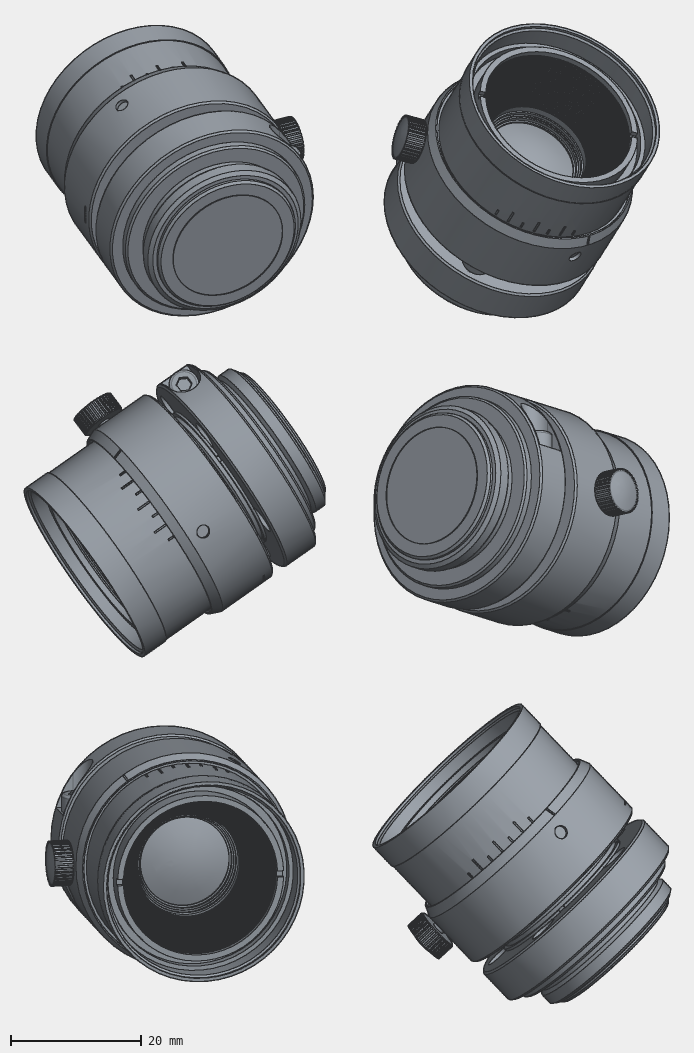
import cadquery as cq
import math


front_ring_end = 4.05
cone_start = 12.3
cone_end = 13.85
focus_ring_end = 23.52
neck_end = 24.25
collar_start = 24.65
collar_end = 25.3
clamp_start = 25.72
clamp_end = 31.7
flange_end = 33.05
mount_neck_end = 34.05
mount_start = 34.55
mount_chamfer_start = 36.35
mount_end = 36.8
tail_end = 37.6
lens_length = 37.75

front_ring_radius = 15.8
barrel_radius = 15.65
cone_front_radius = 16.3
cone_gap_radius = 16.1
cone_gap_depth = 0.38
body_radius = 17.0
neck_radius = 11.15
collar_radius = 11.5
disc_radius = 12.1
flange_radius = 15.0
mount_neck_radius = 12.2
mount_radius = 12.8
mount_end_radius = 12.15
rear_lens_radius = 9.15
edge_chamfer = 0.3
tail_chamfer = 0.38

rim_radius = 15.25
rim_chamfer_start = 0.4
rim_chamfer_end = 0.7
bore_radius = 14.9
bore_floor = 3.8
groove_radius = 14.23
groove_floor = 5.3
retainer_front = 2.25
retainer_radius = 13.05
baffle_mouth = 3.2
baffle_mouth_radius = 12.1
baffle_end = 11.15
baffle_end_radius = 8.1
baffle_steps = 32
throat_end = 12.03
seat_radius = 7.8
seat_step = 12.52
seat_step_radius = 7.55
seat_end = 12.75
lens_ring_end = 13.28
lens_ring_radius = 7.3
front_lens_edge = 13.55
front_lens_radius = 6.98
front_lens_rise = 1.5

slot_width = 1.0
retainer_slot_depth = 0.75
mark_depth = 0.1
mark_width = 0.25
scale_angle_step = 8
scale_long = 2.12
scale_short = 1.0
cone_mark_angle = -34.3
focus_mark_place = 21.7
focus_mark_length = 3.05

screw_place = 16.35
screw_hole_diameter = 2.05
screw_hole_depth = 0.6
stem_diameter = 2.0
knob_diameter = 6.98
knob_bottom = 17.45
knob_shoulder = 20.45
knob_top = 20.95
dome_base_radius = 3.1
knob_chamfer = 0.2
flute_count = 36
flute_width = 0.25
flute_depth = 0.2

pocket_count = 5
pocket_circle_radius = 13.35
pocket_diameter = 4.48
pocket_depth = 4.55
clamp_screw_place = (clamp_start + clamp_end) / 2
clamp_screw_offset = 13.6
clamp_seat_height = 5.0
clamp_seat_width = 5.0
clamp_head_diameter = 4.6
clamp_head_top = 7.7
clamp_head_fillet = 0.38
socket_corners = 2.43
socket_depth = 1.15


def turned(start, end, start_radius, end_radius=None):
    """Cylinder or cone on the X axis."""
    if end_radius is None:
        end_radius = start_radius
    outline = [(start, 0), (start, start_radius), (end, end_radius), (end, 0)]
    return cq.Workplane("XY").polyline(outline).close().revolve(360, (0, 0, 0), (1, 0, 0))


def block(length, width, height, center):
    return cq.Workplane("XY").box(length, width, height).translate(center)


def turn_about_axis(shape, angle):
    """Turn about the X axis; a positive angle swings the top (+Z) towards -Y."""
    return shape.rotate((0, 0, 0), (1, 0, 0), angle)


def outer_body():
    focus_ring = turned(cone_end, focus_ring_end, body_radius).faces(">X").chamfer(edge_chamfer)
    clamp_ring = turned(clamp_start, clamp_end, body_radius).faces("<X or >X").chamfer(edge_chamfer)
    flange = turned(clamp_end, flange_end, flange_radius).faces(">X").chamfer(edge_chamfer)
    tail = turned(mount_end, tail_end, collar_radius).faces(">X").chamfer(tail_chamfer)
    body = turned(0, front_ring_end, front_ring_radius)
    for section in (
        turned(front_ring_end, cone_start, barrel_radius),
        turned(cone_start, cone_end, cone_front_radius, body_radius),
        focus_ring,
        turned(focus_ring_end, neck_end, neck_radius),
        turned(neck_end, collar_start, neck_radius, collar_radius),
        turned(collar_start, collar_end, collar_radius),
        turned(collar_end, clamp_start, disc_radius),
        clamp_ring,
        flange,
        turned(flange_end, mount_neck_end, mount_neck_radius),
        turned(mount_neck_end, mount_start, mount_neck_radius, mount_radius),
        turned(mount_start, mount_chamfer_start, mount_radius),
        turned(mount_chamfer_start, mount_end, mount_radius, mount_end_radius),
        tail,
        turned(tail_end, lens_length, rear_lens_radius),
    ):
        body = body.union(section)
    return body


def front_cavity():
    """Front opening with a stepped light baffle narrowing down to the front lens."""
    step_length = (baffle_end - baffle_mouth) / baffle_steps
    step_height = (baffle_mouth_radius - baffle_end_radius) / baffle_steps
    outline = [
        (0, 0),
        (0, rim_radius),
        (rim_chamfer_start, rim_radius),
        (rim_chamfer_end, bore_radius),
        (bore_floor, bore_radius),
        (bore_floor, groove_radius),
        (groove_floor, groove_radius),
        (groove_floor, retainer_radius),
        (retainer_front, retainer_radius),
        (retainer_front, baffle_mouth_radius),
    ]
    for step in range(baffle_steps):
        place = baffle_mouth + step * step_length
        radius = baffle_mouth_radius - step * step_height
        outline += [(place, radius), (place, radius - step_height)]
    outline += [
        (throat_end, baffle_end_radius),
        (throat_end, seat_radius),
        (seat_step, seat_radius),
        (seat_step, seat_step_radius),
        (seat_end, seat_step_radius),
        (seat_end, lens_ring_radius),
        (lens_ring_end, lens_ring_radius),
        (lens_ring_end, front_lens_radius),
        (front_lens_edge, front_lens_radius),
    ]
    lens_apex = front_lens_edge - front_lens_rise
    sphere_radius = (front_lens_radius**2 + front_lens_rise**2) / (2 * front_lens_rise)
    middle_radius = front_lens_radius / 2
    middle_place = lens_apex + sphere_radius - math.sqrt(sphere_radius**2 - middle_radius**2)
    profile = (
        cq.Workplane("XY")
        .polyline(outline)
        .threePointArc((middle_place, middle_radius), (lens_apex, 0))
        .close()
    )
    return profile.revolve(360, (0, 0, 0), (1, 0, 0))


def cone_gap():
    """Narrow clearance between the barrel and the front of the cone."""
    gap_end = cone_start + cone_gap_depth
    return turned(cone_start, gap_end, cone_gap_radius).cut(turned(cone_start, gap_end, barrel_radius))


def retainer_slots():
    return block(
        retainer_slot_depth,
        2 * retainer_radius,
        slot_width,
        (retainer_front + retainer_slot_depth / 2, 0, 0),
    )


def disc_slots():
    """Four notches around the thin disc in front of the clamp ring."""
    length = clamp_start - collar_end
    depth = disc_radius - collar_radius
    notch = block(length, slot_width, depth, (collar_end + length / 2, 0, disc_radius - depth / 2))
    notches = notch
    for angle in (90, 180, 270):
        notches = notches.union(turn_about_axis(notch, angle))
    return notches


def axial_mark(start, end, radius):
    """Engraved line along the axis, at the top of a round surface."""
    return block(end - start, mark_width, 2 * mark_depth, ((start + end) / 2, 0, radius))


def aperture_scale():
    """Scale lines beside the cone and an index line on it."""
    cone_length = cone_end - cone_start
    cone_slope = math.degrees(math.atan((body_radius - cone_front_radius) / cone_length))
    middle = ((cone_start + cone_end) / 2, 0, (cone_front_radius + body_radius) / 2)
    index = axial_mark(cone_start, cone_end, middle[2])
    index = index.rotate(middle, (middle[0], 1, middle[2]), -cone_slope)
    scale = turn_about_axis(index, cone_mark_angle)
    for step in range(-3, 4):
        length = scale_long if step % 2 == 0 else scale_short
        line = axial_mark(cone_start - length, cone_start, barrel_radius)
        scale = scale.union(turn_about_axis(line, step * scale_angle_step))
    return scale


def focus_mark():
    """Engraved line across the axis on the -Y side of the focus ring."""
    place = (focus_mark_place, -body_radius, 0)
    return block(mark_width, 2 * mark_depth, focus_mark_length, place)


def screw_hole():
    """Radial hole at the top of the focus ring."""
    return (
        cq.Workplane("XY", origin=(screw_place, 0, body_radius - screw_hole_depth))
        .circle(screw_hole_diameter / 2)
        .extrude(2 * screw_hole_depth)
    )


def thumb_screw():
    """Fluted thumb screw standing on top of the focus ring."""
    stem = (
        cq.Workplane("XY", origin=(screw_place, 0, body_radius - 2 * screw_hole_depth))
        .circle(stem_diameter / 2)
        .extrude(knob_bottom - body_radius + 2 * screw_hole_depth)
    )
    knob_height = knob_shoulder - knob_bottom
    knob_radius = knob_diameter / 2
    knob = (
        cq.Workplane("XY", origin=(screw_place, 0, knob_bottom))
        .circle(knob_radius)
        .extrude(knob_height)
        .faces("<Z")
        .chamfer(knob_chamfer)
    )
    flutes = (
        cq.Workplane("XY", origin=(screw_place, 0, knob_bottom))
        .polarArray(knob_radius, 0, 360, flute_count)
        .rect(2 * flute_depth, flute_width)
        .extrude(knob_height)
    )
    dome_rise = knob_top - knob_shoulder
    sphere_radius = (dome_base_radius**2 + dome_rise**2) / (2 * dome_rise)
    dome = cq.Workplane("XY").sphere(sphere_radius).translate((screw_place, 0, knob_top - sphere_radius))
    dome_limit = (
        cq.Workplane("XY", origin=(screw_place, 0, knob_shoulder)).circle(knob_radius).extrude(dome_rise)
    )
    return stem.union(knob.cut(flutes)).union(dome.intersect(dome_limit))


def clamp_ring_pockets():
    """Round pockets in the front face of the clamp ring, one of them towards +Y."""
    return (
        cq.Workplane("YZ", origin=(clamp_start, 0, 0))
        .polarArray(pocket_circle_radius, 0, 360, pocket_count)
        .circle(pocket_diameter / 2)
        .extrude(pocket_depth)
    )


def clamp_screw_seat():
    """Round-ended flat seat, open towards +Y, for the tangential clamp screw."""
    plane = cq.Workplane("XY", origin=(clamp_screw_place, clamp_screw_offset, clamp_seat_height))
    height = body_radius - clamp_seat_height
    open_length = body_radius - clamp_screw_offset
    round_end = plane.circle(clamp_seat_width / 2).extrude(height)
    open_end = plane.center(0, open_length / 2).rect(clamp_seat_width, open_length).extrude(height)
    return round_end.union(open_end)


def clamp_screw():
    """Socket head of the clamp screw."""
    return (
        cq.Workplane("XY", origin=(clamp_screw_place, clamp_screw_offset, clamp_seat_height))
        .circle(clamp_head_diameter / 2)
        .extrude(clamp_head_top - clamp_seat_height)
        .faces(">Z")
        .fillet(clamp_head_fillet)
        .faces(">Z")
        .workplane()
        .transformed(rotate=(0, 0, 90))
        .polygon(6, socket_corners)
        .cutBlind(-socket_depth)
    )


result = outer_body().cut(front_cavity()).cut(retainer_slots())
result = result.cut(cone_gap()).cut(disc_slots()).cut(focus_mark())
for half_turn in (0, 180):
    result = result.cut(turn_about_axis(aperture_scale(), half_turn))

for hole_angle in (30, 150):
    result = result.cut(turn_about_axis(screw_hole(), hole_angle))
result = result.union(turn_about_axis(thumb_screw(), -90))

result = result.cut(clamp_ring_pockets()).cut(clamp_screw_seat()).union(clamp_screw())